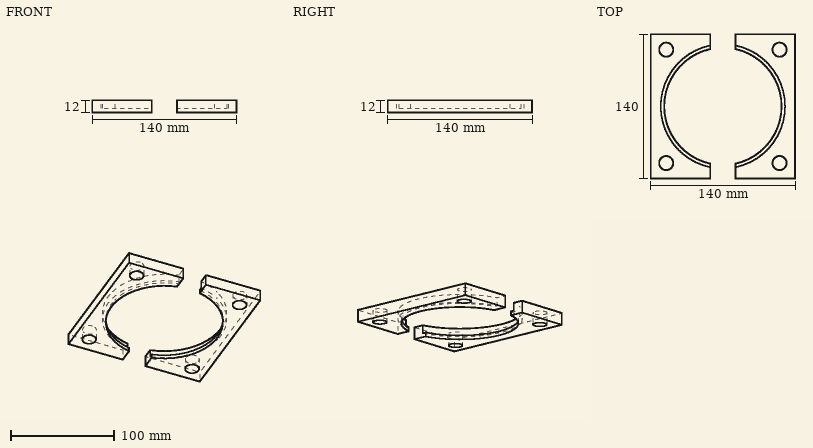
import cadquery as cq

side = 140.0
thickness = 12.0
gap = 24.1

recess_diameter = 120.4
lip_diameter = 113.4
lip_height = 4.0

bolt_spacing = 109.8
bolt_diameter = 13.5

half_width = (side - gap) / 2


def stepped_bore():
    """Cutter for the through bore and the recess above the lip."""
    through = cq.Workplane("XY").circle(lip_diameter / 2).extrude(thickness)
    recess = (
        cq.Workplane("XY", origin=(0, 0, lip_height))
        .circle(recess_diameter / 2)
        .extrude(thickness - lip_height)
    )
    return through.union(recess)


def bolt_holes():
    """Cutters for the four through holes."""
    return (
        cq.Workplane("XY")
        .rect(bolt_spacing, bolt_spacing, forConstruction=True)
        .vertices()
        .circle(bolt_diameter / 2)
        .extrude(thickness)
    )


def flange_half(x_direction):
    """One half of the split flange, on the -X (-1) or +X (+1) side."""
    centre_x = x_direction * (gap + half_width) / 2
    plate = (
        cq.Workplane("XY", origin=(centre_x, 0, 0))
        .rect(half_width, side)
        .extrude(thickness)
    )
    return plate.cut(stepped_bore()).cut(bolt_holes())


flange_halves = []
for x_direction in (-1, 1):
    flange_halves.append(flange_half(x_direction).solids().val())

result = cq.Compound.makeCompound(flange_halves)